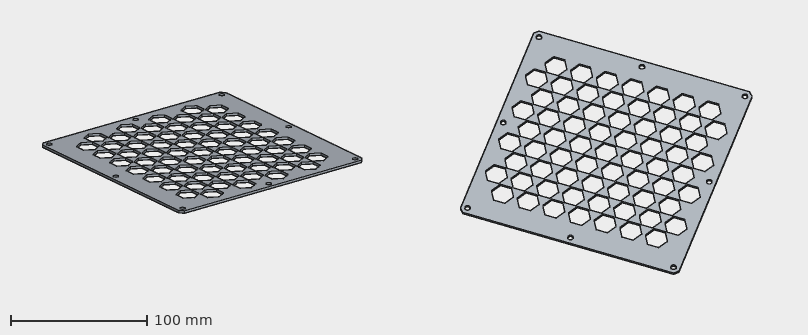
import cadquery as cq

plate_side = 170.0
plate_thickness = 2.0
corner_chamfer = 3.0

mount_diameter = 4.0
mount_inset = 5.0
mount_offset = plate_side / 2 - mount_inset

hex_across_corners = 17.2
field_side = 119.7
row_count = 9
short_row_count = 7
long_row_count = short_row_count + 1
row_pitch = field_side / (row_count - 1)
column_pitch = field_side / (short_row_count - 1)


def make_plate():
    plate = cq.Workplane("XY").box(plate_side, plate_side, plate_thickness)
    return plate.edges("|Z").chamfer(corner_chamfer)


def mount_points():
    steps = (-mount_offset, 0, mount_offset)
    return [(x, y) for x in steps for y in steps if (x, y) != (0, 0)]


def hex_centers():
    """Centres of the openings; the first and last rows are short ones."""
    centers = []
    for row in range(row_count):
        count = short_row_count if row % 2 == 0 else long_row_count
        y = (row - (row_count - 1) / 2) * row_pitch
        for column in range(count):
            x = (column - (count - 1) / 2) * column_pitch
            centers.append((x, y))
    return centers


def make_hex_cutters():
    sketch = (
        cq.Sketch()
        .push(hex_centers())
        .regularPolygon(hex_across_corners / 2, 6, angle=90)
    )
    return cq.Workplane("XY").placeSketch(sketch).extrude(plate_thickness, both=True)


plate = make_plate()
plate = plate.faces(">Z").workplane().pushPoints(mount_points()).hole(mount_diameter)
result = plate.cut(make_hex_cutters())